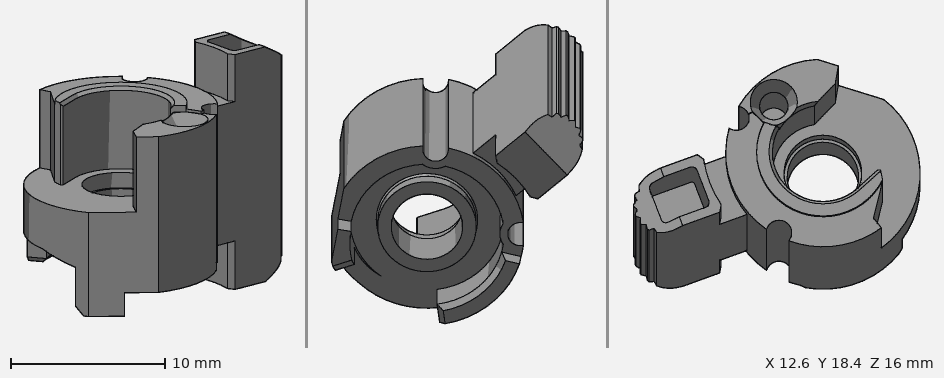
import cadquery as cq
import math

BODY_RADIUS = 6.3
BODY_BOTTOM = 2.77
BODY_TOP = 13.6
FLAT_DISTANCE = 5.88
FLAT_ANGLE = -60.7

FLOOR_Z = 8.27
POCKET_RADIUS = 3.27
POCKET_CHAMFER = 0.22
RIM_RADIUS = 4.3
RIM_TOP = 13.83
BORE_RADIUS = 2.31
COUNTERBORE_RADIUS = 2.52
COUNTERBORE_DEPTH = 1.05

LEFT_END = [
    (-BODY_RADIUS, 0.66), (-5.44, 0.59), (-4.02, -1.55), (-3.42, -1.91), (-POCKET_RADIUS, -1.8),
]
RIGHT_WALL = [(2.74, -1.8), (2.87, -3.77), (3.73, -4.89)]

LOW_TOP = 13.4
LOW_STEP = [(0, -0.72), (4.05, 1.43), (5.1, 1.47), (5.25, 2.02)]
SEAT_X = 4.67
SEAT_RADIUS = 1.52
SEAT_HOLE_RADIUS = 0.92
SEAT_DEPTH = 1.0
SEAT_HOLE_BOTTOM = FLOOR_Z

NOTCH_RADIUS = 0.83
NOTCH_PITCH_RADIUS = 6.06
NOTCH_WALL = 0.51
NOTCH_ANGLES = (109, 24.5)

CEILING_Z = 5.09
SKIRT_RADIUS = 5.0
BOSS_RADIUS = 3.2
BOSS_BOTTOM = 3.99
BOSS_ROOT_WIDTH = 0.1
BOSS_ROOT_HEIGHT = 0.22
RAMP_START_X = -2.8
RAMP_END_Z = 4.4
SIDE_FOOT_BOTTOM = 2.4
SIDE_FOOT_START_ANGLE = 191.8
SIDE_FOOT_END_ANGLE = 123.7
SIDE_FOOT_CHAMFER = 0.37
FRONT_FOOT_BOTTOM = 1.18
FRONT_FOOT_SIDE_X = -0.04
FRONT_FOOT_END_ANGLE = -60
FRONT_FOOT_CHAMFER = 0.6

LEVER_ANGLE = 67.5
LEVER_OFFSET = -0.1
LEVER_HALF_WIDTH = 2.05
LEVER_HEIGHT = 16.0
LEVER_START = 4.6
LEVER_OVERLAP = 0.18
NECK_BOTTOM = 3.3
NECK_TOP = 12.8
HEAD_START = 7.79
HEAD_CORNER_X = 7.6
HEAD_CORNER_HALF_WIDTH = 1.62
HEAD_SIDE_X = 7.88
TIP_CENTER = 10.88
TOOTH_ROOT_RADIUS = 1.85
TOOTH_COUNT = 7
TOOTH_PITCH = 18.6
TOOTH_GAP_HALF_ANGLE = 7.5
TIP_SLOPE_START = 10.43
TIP_SLOPE_ANGLE = 30
RECESS_START = 8.27
RECESS_END = 11.57
RECESS_HALF_WIDTH = 1.43
RECESS_CORNER = 0.37
RECESS_DEPTH = 3.3
RECESS_DRAFT = 3

FAR = 2 * BODY_RADIUS


def polar(radius, angle):
    return (radius * math.cos(math.radians(angle)), radius * math.sin(math.radians(angle)))


def disc(radius, bottom, top):
    return cq.Workplane("XY").workplane(offset=bottom).circle(radius).extrude(top - bottom)


def cone(bottom_radius, top_radius, bottom, top):
    return (
        cq.Workplane("XY").workplane(offset=bottom).circle(bottom_radius)
        .workplane(offset=top - bottom).circle(top_radius).loft()
    )


def prism(points, bottom, top):
    return cq.Workplane("XY").workplane(offset=bottom).polyline(points).close().extrude(top - bottom)


def box(x_range, y_range, z_range):
    (x0, x1), (y0, y1), (z0, z1) = x_range, y_range, z_range
    return cq.Workplane("XY").box(x1 - x0, y1 - y0, z1 - z0, centered=False).translate((x0, y0, z0))


def flat_cutter():
    half = FAR / 2
    cutter = box((FLAT_DISTANCE, FAR), (-half, half), (0, LEVER_HEIGHT))
    return cutter.rotate((0, 0, 0), (0, 0, 1), FLAT_ANGLE)


def pocket_chamfer(top):
    """Cone widening the pocket mouth at the given top level."""
    return cone(POCKET_RADIUS, POCKET_RADIUS + POCKET_CHAMFER, top - POCKET_CHAMFER, top)


def hook_chamfer():
    """Chamfer along the straight inner wall of the hooked left end of the rim."""
    outline = [
        (-POCKET_RADIUS, RIM_TOP - POCKET_CHAMFER), (-POCKET_RADIUS - POCKET_CHAMFER, RIM_TOP),
        (-POCKET_RADIUS, RIM_TOP),
    ]
    return cq.Workplane("XZ").polyline(outline).close().extrude(FAR)


def front_opening():
    """Open front of the upper ring, between the hooked left end and the right wall."""
    left_start_y = LEFT_END[0][1]
    outline = [
        (-FAR, left_start_y), *LEFT_END, (-POCKET_RADIUS, 0), (0, 0),
        *RIGHT_WALL, (FAR, -FAR), (-FAR, -FAR),
    ]
    return prism(outline, FLOOR_Z, LEVER_HEIGHT)


def lowered_sector(bottom):
    """Sector of the body whose top is lowered, from the given level upward."""
    step_end_y = LOW_STEP[-1][1]
    outline = [*LOW_STEP, (FAR, step_end_y), (FAR, -FAR), (0, -FAR)]
    return prism(outline, bottom, LEVER_HEIGHT)


def seat():
    """Countersink running down into a blind hole."""
    cone_bottom = LOW_TOP - SEAT_DEPTH
    countersink = cone(SEAT_HOLE_RADIUS, SEAT_RADIUS, cone_bottom, LOW_TOP)
    hole = disc(SEAT_HOLE_RADIUS, SEAT_HOLE_BOTTOM, cone_bottom)
    return countersink.union(hole).translate((SEAT_X, 0, 0))


def notch(angle):
    """Round notch at the body edge, opening outward."""
    mouth = box((0, NOTCH_RADIUS), (-NOTCH_RADIUS, NOTCH_RADIUS), (0, LEVER_HEIGHT))
    cutter = disc(NOTCH_RADIUS, 0, LEVER_HEIGHT).union(mouth)
    return cutter.translate((NOTCH_PITCH_RADIUS, 0, 0)).rotate((0, 0, 0), (0, 0, 1), angle)


def skirt_ring(bottom):
    return disc(BODY_RADIUS, bottom, CEILING_Z).cut(disc(SKIRT_RADIUS, bottom, CEILING_Z))


def underside_cavity():
    """Annular cavity around the boss, with a flared boss root and walls bulging behind the notches."""
    root_z = CEILING_Z - BOSS_ROOT_HEIGHT
    boss = disc(BOSS_RADIUS, BOSS_BOTTOM, CEILING_Z)
    root = cone(BOSS_RADIUS, BOSS_RADIUS + BOSS_ROOT_WIDTH, root_z, CEILING_Z)
    cavity = disc(SKIRT_RADIUS, 0, CEILING_Z).cut(boss).cut(root)
    for angle in NOTCH_ANGLES:
        x, y = polar(NOTCH_PITCH_RADIUS, angle)
        cavity = cavity.cut(disc(NOTCH_RADIUS + NOTCH_WALL, 0, CEILING_Z).translate((x, y, 0)))
    return cavity


def skirt_gap():
    """Gap in the skirt between the two feet, with a ramped ceiling."""
    outline = [
        (-FAR, 0), (FRONT_FOOT_SIDE_X, 0), (FRONT_FOOT_SIDE_X, RAMP_END_Z),
        (RAMP_START_X, CEILING_Z), (-FAR, CEILING_Z),
    ]
    gap = cq.Workplane("XZ").polyline(outline).close().extrude(FAR)
    side_x, side_y = polar(FAR, SIDE_FOOT_START_ANGLE)
    beside_foot = prism([(0, 0), (side_x, side_y), (-FAR, 0)], 0, CEILING_Z)
    return gap.cut(beside_foot).cut(disc(SKIRT_RADIUS, 0, CEILING_Z))


def side_foot_bevel(angle, inward):
    """Bevel on a radial end of the side foot; inward is +1 or -1, the turning sense into the foot."""
    outline = [
        (0, SIDE_FOOT_BOTTOM), (inward * SIDE_FOOT_CHAMFER, SIDE_FOOT_BOTTOM),
        (0, SIDE_FOOT_BOTTOM + SIDE_FOOT_CHAMFER),
    ]
    bevel = cq.Workplane("YZ").polyline(outline).close().extrude(FAR)
    return bevel.rotate((0, 0, 0), (0, 0, 1), angle)


def side_foot():
    """Foot on the -X side, bevelled at both ends and along its inner edge."""
    start_x, start_y = polar(FAR, SIDE_FOOT_START_ANGLE)
    end_x, end_y = polar(FAR, SIDE_FOOT_END_ANGLE)
    sector = [(0, 0), (end_x, end_y), (-FAR, end_y), (start_x, start_y)]
    foot = skirt_ring(SIDE_FOOT_BOTTOM).intersect(prism(sector, SIDE_FOOT_BOTTOM, CEILING_Z))
    bevel_top = SIDE_FOOT_BOTTOM + SIDE_FOOT_CHAMFER
    inner_bevel = cone(SKIRT_RADIUS + SIDE_FOOT_CHAMFER, SKIRT_RADIUS, SIDE_FOOT_BOTTOM, bevel_top)
    foot = foot.cut(inner_bevel)
    foot = foot.cut(side_foot_bevel(SIDE_FOOT_START_ANGLE, -1))
    return foot.cut(side_foot_bevel(SIDE_FOOT_END_ANGLE, 1))


def front_foot():
    """Long foot on the -Y side, bevelled on its -X corner."""
    sector = [(FRONT_FOOT_SIDE_X, 0), (0, 0), polar(FAR, FRONT_FOOT_END_ANGLE), (FRONT_FOOT_SIDE_X, -FAR)]
    foot = skirt_ring(FRONT_FOOT_BOTTOM).intersect(prism(sector, FRONT_FOOT_BOTTOM, CEILING_Z))
    bevel = [
        (FRONT_FOOT_SIDE_X, FRONT_FOOT_BOTTOM), (FRONT_FOOT_SIDE_X + FRONT_FOOT_CHAMFER, FRONT_FOOT_BOTTOM),
        (FRONT_FOOT_SIDE_X, FRONT_FOOT_BOTTOM + FRONT_FOOT_CHAMFER),
    ]
    return foot.cut(cq.Workplane("XZ").polyline(bevel).close().extrude(FAR))


def tooth_gap(angle):
    """V groove between two teeth of the lever tip, in lever coordinates."""
    def tip_point(radius, direction):
        x, y = polar(radius, direction)
        return (TIP_CENTER + x, y)

    root = tip_point(TOOTH_ROOT_RADIUS, angle)
    left = tip_point(LEVER_HALF_WIDTH, angle - TOOTH_GAP_HALF_ANGLE)
    right = tip_point(LEVER_HALF_WIDTH, angle + TOOTH_GAP_HALF_ANGLE)
    beyond = tip_point(2 * LEVER_HALF_WIDTH, angle)
    return prism([root, left, beyond, right], 0, LEVER_HEIGHT)


def beside_head(bottom, top):
    """Space above or below the neck, bounded by the curved inner side of the head."""
    return (
        cq.Workplane("XY").workplane(offset=bottom)
        .moveTo(0, -LEVER_HALF_WIDTH).lineTo(HEAD_SIDE_X, -LEVER_HALF_WIDTH)
        .lineTo(HEAD_CORNER_X, -HEAD_CORNER_HALF_WIDTH)
        .threePointArc((HEAD_START, 0), (HEAD_CORNER_X, HEAD_CORNER_HALF_WIDTH))
        .lineTo(HEAD_SIDE_X, LEVER_HALF_WIDTH).lineTo(0, LEVER_HALF_WIDTH).close()
        .extrude(top - bottom)
    )


def lever():
    """Lever built along +X and turned to its angle; its head is taller than its neck at both ends."""
    width = 2 * LEVER_HALF_WIDTH
    body = box((LEVER_START, TIP_CENTER), (-LEVER_HALF_WIDTH, LEVER_HALF_WIDTH), (0, LEVER_HEIGHT))
    body = body.union(disc(LEVER_HALF_WIDTH, 0, LEVER_HEIGHT).translate((TIP_CENTER, 0, 0)))

    gap_count = TOOTH_COUNT - 1
    for index in range(gap_count):
        body = body.cut(tooth_gap((index - (gap_count - 1) / 2) * TOOTH_PITCH))

    body = body.cut(beside_head(0, NECK_BOTTOM)).cut(beside_head(NECK_TOP, LEVER_HEIGHT))

    slope_end = TIP_CENTER + 2 * LEVER_HALF_WIDTH
    drop = (slope_end - TIP_SLOPE_START) * math.tan(math.radians(TIP_SLOPE_ANGLE))
    for level, direction in ((LEVER_HEIGHT, -1), (0, 1)):
        wedge = [(TIP_SLOPE_START, level), (slope_end, level), (slope_end, level + direction * drop)]
        body = body.cut(cq.Workplane("XZ").polyline(wedge).close().extrude(width, both=True))

    recess_length = RECESS_END - RECESS_START
    recess_outline = cq.Sketch().rect(recess_length, 2 * RECESS_HALF_WIDTH).vertices().fillet(RECESS_CORNER)
    recess = (
        cq.Workplane("XY").workplane(offset=LEVER_HEIGHT)
        .center((RECESS_START + RECESS_END) / 2, 0)
        .placeSketch(recess_outline).extrude(-RECESS_DEPTH, taper=RECESS_DRAFT)
    )
    body = body.cut(recess)
    placed = body.translate((0, LEVER_OFFSET, 0)).rotate((0, 0, 0), (0, 0, 1), LEVER_ANGLE)
    return placed.cut(disc(BODY_RADIUS - LEVER_OVERLAP, 0, LEVER_HEIGHT))


body = disc(BODY_RADIUS, BODY_BOTTOM, BODY_TOP).union(disc(RIM_RADIUS, BODY_TOP, RIM_TOP))
body = body.cut(underside_cavity()).cut(skirt_gap())
body = body.union(side_foot()).union(front_foot())
body = body.cut(flat_cutter()).cut(lowered_sector(LOW_TOP))
body = body.union(lever())
body = body.cut(disc(POCKET_RADIUS, FLOOR_Z, RIM_TOP)).cut(front_opening())
body = body.cut(pocket_chamfer(RIM_TOP)).cut(hook_chamfer())
body = body.cut(pocket_chamfer(LOW_TOP).intersect(lowered_sector(FLOOR_Z)))
body = body.cut(seat())
for notch_angle in NOTCH_ANGLES:
    body = body.cut(notch(notch_angle))
body = body.cut(disc(BORE_RADIUS, 0, RIM_TOP))
body = body.cut(disc(COUNTERBORE_RADIUS, FLOOR_Z - COUNTERBORE_DEPTH, RIM_TOP))

result = body